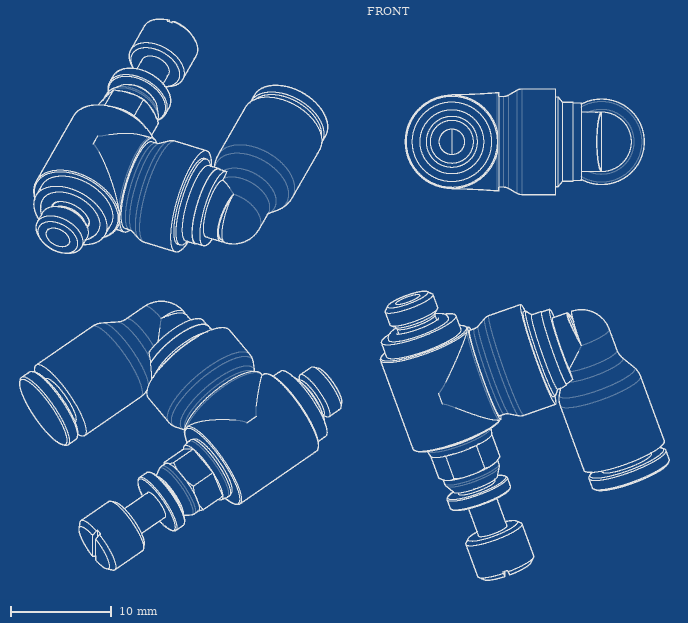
import cadquery as cq
import math

SCREW_DIRECTION = (0, 1, 0)
BRANCH_DIRECTION = (1, 0, 0)
CROSSING = (0, 0, 0)

shoulder_angle = math.radians(30)

body_radius = 4.63
body_top = 4.9
body_bottom = -4.9
body_edge_chamfer = 0.12

boss_radius = 3.94
boss_bottom = -6.4
o_ring_centre_radius = 2.62
o_ring_section_radius = 0.55
thread_neck_radius = 2.0
thread_neck_bottom = -7.2
thread_step_radius = 2.1
thread_step_bottom = -7.44
thread_radius = 2.53
thread_top = -7.81
thread_bottom = -9.6
thread_chamfer = 0.4
port_radius = 1.26
port_top = 0

seat_radius = 3.25
seat_lip_radius = 3.38
seat_lip_bottom = 5.19
seat_lip_top = 5.43
hex_bottom = 6.05
hex_top = 8.69
hex_across_flats = 5.6
hex_chamfer_angle = math.radians(30)
cap_radius = 2.88
cap_shoulder = 9.31
cap_shoulder_fillet = 0.5
cap_top = 10.27

ring_neck_radius = 1.92
ring_radius = 3.19
ring_bottom = 10.65
ring_top = 11.84
ring_edge_chamfer = 0.12
rod_radius = 1.5
knob_radius = 2.97
knob_bottom = 15.33
knob_top = 19.6
knob_bottom_chamfer = 0.35
knob_top_chamfer = 0.46
knob_slot_width = 0.5
knob_slot_depth = 0.6

root_start_radius = 4.665
root_end_radius = 4.87
root_taper_end = 4.47
root_end = 4.65
groove_radius = 4.5
coupling_radius = 5.25
coupling_shoulder_top = 6.68
coupling_root_fillet = 1.0
coupling_top_fillet = 1.0
coupling_end = 10.29
swivel_rim_radius = 4.46
swivel_rim_end = 10.53
swivel_radius = 3.92
swivel_start = 10.97
swivel_step = 12.02
swivel_nose_radius = 3.86
swivel_end = 12.84

elbow_x = 14.83
elbow_radius = 2.95
elbow_gap = 0.48
elbow_recess_radius = 2.75

socket_radius = 4.25
socket_top = 12.54
socket_shoulder = 5.06
socket_shoulder_fillet = 1.9
elbow_shoulder_fillet = 2.0
collar_neck_radius = 2.6
collar_radius = 4.07
collar_bottom = 13.31
collar_top = 14.67
collar_edge_chamfer = 0.18


def shoulder_length(radius_change):
    """Axial length of a conical shoulder that spans the given change in radius."""
    return radius_change / math.tan(shoulder_angle)


def unit_vector(start, end):
    length = math.dist(start, end)
    return ((end[0] - start[0]) / length, (end[1] - start[1]) / length)


def add_rounded_corner(outline, before, corner, after, fillet):
    """Extend the outline to the corner and round it with an arc tangent to both of its sides."""
    back = unit_vector(corner, before)
    ahead = unit_vector(corner, after)
    half_angle = math.acos(back[0] * ahead[0] + back[1] * ahead[1]) / 2
    setback = fillet / math.tan(half_angle)
    arc_start = (corner[0] + setback * back[0], corner[1] + setback * back[1])
    arc_end = (corner[0] + setback * ahead[0], corner[1] + setback * ahead[1])
    bisector = unit_vector((0, 0), (back[0] + ahead[0], back[1] + ahead[1]))
    inset = fillet / math.sin(half_angle) - fillet
    arc_middle = (corner[0] + inset * bisector[0], corner[1] + inset * bisector[1])
    return outline.lineTo(*arc_start).threePointArc(arc_middle, arc_end)


def turned(origin, direction, profile):
    """Solid of revolution from (station, radius) points; a third value rounds that corner."""
    plane = cq.Plane(origin=origin, xDir=direction, normal=(0, 0, 1))
    outline = cq.Workplane(plane).moveTo(profile[0][0], 0)
    for index, point in enumerate(profile):
        corner = point[:2]
        if len(point) == 2:
            outline = outline.lineTo(*corner)
        else:
            before = profile[index - 1][:2]
            after = profile[index + 1][:2]
            outline = add_rounded_corner(outline, before, corner, after, point[2])
    outline = outline.lineTo(profile[-1][0], 0).close()
    return outline.revolve(360, (0, 0), (1, 0))


def chamfered_disc(start, end, radius, start_chamfer, end_chamfer):
    """Profile points of a cylinder with a 45 degree chamfer at each end."""
    return [
        (start, radius - start_chamfer),
        (start + start_chamfer, radius),
        (end - end_chamfer, radius),
        (end, radius - end_chamfer),
    ]


def make_threaded_end():
    profile = [
        (thread_bottom, thread_radius - thread_chamfer),
        (thread_bottom + thread_chamfer, thread_radius),
        (thread_top, thread_radius),
        (thread_step_bottom, thread_step_radius),
        (thread_neck_bottom, thread_neck_radius),
        (boss_bottom, thread_neck_radius),
        (boss_bottom, boss_radius),
        (body_bottom, boss_radius),
    ]
    o_ring = cq.Workplane(
        obj=cq.Solid.makeTorus(
            o_ring_centre_radius,
            o_ring_section_radius,
            cq.Vector(0, boss_bottom, 0),
            cq.Vector(*SCREW_DIRECTION),
        )
    )
    return turned(CROSSING, SCREW_DIRECTION, profile).union(o_ring)


def make_body():
    profile = chamfered_disc(body_bottom, body_top, body_radius, body_edge_chamfer, body_edge_chamfer)
    return turned(CROSSING, SCREW_DIRECTION, profile)


def make_hexagon():
    """Hexagon with corners at +X and -X, its upper corners turned off by a cone."""
    corner_radius = hex_across_flats / 2 / math.cos(math.pi / 6)
    plane = cq.Plane(origin=(0, hex_bottom, 0), xDir=(1, 0, 0), normal=SCREW_DIRECTION)
    prism = cq.Workplane(plane).polygon(6, 2 * corner_radius).extrude(hex_top - hex_bottom)
    chamfer_drop = (corner_radius - cap_radius) * math.tan(hex_chamfer_angle)
    envelope = turned(
        CROSSING,
        SCREW_DIRECTION,
        [(hex_bottom, corner_radius), (hex_top - chamfer_drop, corner_radius), (hex_top, cap_radius)],
    )
    return prism.intersect(envelope)


def make_seat():
    profile = [
        (body_top, seat_radius),
        (seat_lip_bottom, seat_lip_radius),
        (seat_lip_top, seat_lip_radius),
        (hex_bottom, seat_radius),
    ]
    return turned(CROSSING, SCREW_DIRECTION, profile)


def make_screw():
    """Domed cap, lock ring, rod and knob."""
    cap_top_radius = cap_radius - (cap_top - cap_shoulder) * math.tan(shoulder_angle)
    profile = [
        (hex_top, cap_radius),
        (cap_shoulder, cap_radius, cap_shoulder_fillet),
        (cap_top, cap_top_radius),
        (cap_top, ring_neck_radius),
        (ring_bottom, ring_neck_radius),
        *chamfered_disc(ring_bottom, ring_top, ring_radius, ring_edge_chamfer, ring_edge_chamfer),
        (ring_top, rod_radius),
        (knob_bottom, rod_radius),
        *chamfered_disc(knob_bottom, knob_top, knob_radius, knob_bottom_chamfer, knob_top_chamfer),
    ]
    slot = cq.Workplane().box(knob_slot_width, 2 * knob_slot_depth, 2 * knob_radius)
    return turned(CROSSING, SCREW_DIRECTION, profile).cut(slot.translate((0, knob_top, 0)))


def cut_port(part):
    port = turned(
        CROSSING,
        SCREW_DIRECTION,
        [(thread_bottom, port_radius), (port_top, port_radius)],
    )
    return part.cut(port)


def make_branch():
    shoulder_start = coupling_shoulder_top - shoulder_length(coupling_radius - groove_radius)
    profile = [
        (0, root_start_radius),
        (root_taper_end, root_end_radius),
        (root_end, root_end_radius),
        (root_end, groove_radius),
        (shoulder_start, groove_radius, coupling_root_fillet),
        (coupling_shoulder_top, coupling_radius, coupling_top_fillet),
        (coupling_end, coupling_radius),
        (coupling_end, swivel_rim_radius),
        (swivel_rim_end, swivel_rim_radius),
        (swivel_start, swivel_radius),
        (swivel_step, swivel_radius),
        (swivel_step, swivel_nose_radius),
        (swivel_end, swivel_nose_radius),
    ]
    return turned(CROSSING, BRANCH_DIRECTION, profile)


def make_elbow_run():
    """Horizontal leg of the elbow.

    On the -Y side of the branch axis its end face leans away from the dome, and a half-round recess
    hollows that face out to a flat roof on the axis.
    """
    leg = turned(CROSSING, BRANCH_DIRECTION, [(coupling_end, elbow_radius), (elbow_x, elbow_radius)])
    gap = (
        cq.Workplane()
        .moveTo(elbow_x, 0)
        .lineTo(elbow_x, -elbow_radius)
        .lineTo(elbow_x - elbow_gap, -elbow_radius)
        .close()
        .extrude(elbow_radius, both=True)
    )
    recess = (
        cq.Workplane("YZ", origin=(elbow_x, 0, 0))
        .moveTo(0, elbow_recess_radius)
        .threePointArc((-elbow_recess_radius, 0), (0, -elbow_recess_radius))
        .close()
        .extrude(-elbow_gap)
    )
    return leg.cut(gap).cut(recess)


def make_dome():
    """Quarter of a sphere closing the outer corner of the elbow."""
    quarter_disc_plane = cq.Plane(origin=(elbow_x, 0, 0), xDir=(0, 0, 1), normal=BRANCH_DIRECTION)
    return (
        cq.Workplane(quarter_disc_plane)
        .lineTo(elbow_radius, 0)
        .radiusArc((0, elbow_radius), -elbow_radius)
        .close()
        .revolve(180, (0, 0), (0, -1))
    )


def make_socket():
    elbow_shoulder = socket_shoulder - shoulder_length(socket_radius - elbow_radius)
    profile = [
        (0, elbow_radius),
        (elbow_shoulder, elbow_radius, elbow_shoulder_fillet),
        (socket_shoulder, socket_radius, socket_shoulder_fillet),
        (socket_top, socket_radius),
        (socket_top, collar_neck_radius),
        (collar_bottom, collar_neck_radius),
        *chamfered_disc(collar_bottom, collar_top, collar_radius, collar_edge_chamfer, collar_edge_chamfer),
    ]
    return turned((elbow_x, 0, 0), SCREW_DIRECTION, profile)


result = cut_port(make_body().union(make_threaded_end()))
for section in (make_seat(), make_hexagon(), make_screw(), make_branch()):
    result = result.union(section)
result = result.union(make_elbow_run().union(make_socket()).union(make_dome()))